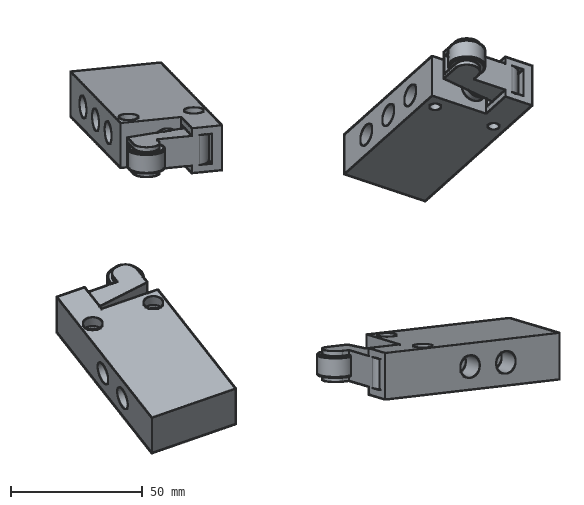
import cadquery as cq
import math

total_length = 88.0
body_length = 64.0
body_width = 36.0
body_height = 18.0
mid_height = body_height / 2

arm_end = 78.0
notch_depth = 24.0
seat_start = body_length + 0.5
seat_depth = 8.0
seat_floor_y = notch_depth + seat_depth
seat_wall_radius = 22.0
seat_wall_run = 3.7

port_diameter = 8.7
port_depth = 10.0
port_pitch = 16.0
front_port_places = [port_pitch * number for number in (1, 2, 3)]
back_port_places = [port_pitch * number for number in (1.5, 2.5)]

mount_x = 58.0
mount_edge_gap = 5.0
mount_diameter = 4.5
counterbore_diameter = 7.5
counterbore_depth = 4.5

plunger_y = 18.1
plunger_radius = 5.0
plunger_straight = 3.0
plunger_cone = 2.7

roller_radius = 7.0
roller_overhang = 2.0
roller_width = 8.2
roller_chamfer = 0.5
roller_x = total_length - roller_radius
roller_y = roller_radius - roller_overhang

lever_thickness = 12.0
lever_foot_x = body_length + 8.45
nose_radius = roller_y
head_radius = 5.0
head_x = arm_end - head_radius
head_y = seat_floor_y - head_radius

pocket_start = body_length + 9.0
pocket_wall_radius = 17.6


def mid_plane(x=0.0, y=0.0):
    """Horizontal work plane at the middle height of the body."""
    return cq.Workplane("XY", origin=(x, y, mid_height))


def centred_disc(x, y, radius, thickness):
    """Upright disc centred on the middle height of the body."""
    return mid_plane(x, y).circle(radius).extrude(thickness / 2, both=True)


def make_block():
    outline = [
        (0, 0),
        (body_length, 0),
        (body_length, notch_depth),
        (arm_end, notch_depth),
        (arm_end, body_width),
        (0, body_width),
    ]
    return cq.Workplane("XY").polyline(outline).close().extrude(body_height)


def cut_lever_seat(body):
    """Seat open towards the notch and the arm's end, with a curved inner wall."""
    seat = (
        mid_plane()
        .moveTo(arm_end, seat_floor_y)
        .lineTo(arm_end, notch_depth)
        .lineTo(seat_start, notch_depth)
        .radiusArc((seat_start + seat_wall_run, seat_floor_y), seat_wall_radius)
        .close()
        .extrude(lever_thickness / 2, both=True)
    )
    return body.cut(seat)


def cut_ports(body):
    port = cq.Workplane("XZ").circle(port_diameter / 2).extrude(-port_depth)
    for x in front_port_places:
        body = body.cut(port.translate((x, 0, mid_height)))
    for x in back_port_places:
        body = body.cut(port.translate((x, body_width - port_depth, mid_height)))
    return body


def cut_mounting_holes(body):
    places = [(mount_x, mount_edge_gap), (mount_x, body_width - mount_edge_gap)]
    return (
        body.faces(">Z")
        .workplane(origin=(0, 0, body_height))
        .pushPoints(places)
        .cboreHole(mount_diameter, counterbore_diameter, counterbore_depth)
    )


def make_plunger():
    plunger_length = plunger_straight + plunger_cone
    return (
        cq.Workplane("YZ", origin=(body_length, plunger_y, mid_height))
        .circle(plunger_radius)
        .extrude(plunger_length)
        .faces(">X")
        .chamfer(plunger_cone)
    )


def make_lever():
    head_distance = math.hypot(head_x - lever_foot_x, head_y)
    lean = math.asin(head_radius / head_distance) - math.atan2(head_x - lever_foot_x, head_y)
    tangent_point = (head_x - head_radius * math.cos(lean), head_y - head_radius * math.sin(lean))
    nose_top_y = roller_y + nose_radius
    return (
        mid_plane()
        .moveTo(lever_foot_x, 0)
        .lineTo(roller_x, 0)
        .threePointArc((roller_x + nose_radius, roller_y), (roller_x, nose_top_y))
        .lineTo(arm_end, nose_top_y)
        .lineTo(arm_end, head_y)
        .threePointArc((head_x, head_y + head_radius), tangent_point)
        .close()
        .extrude(lever_thickness / 2, both=True)
    )


def make_roller_pocket():
    """Pocket open at the front, closing where its curved wall meets the roller's side."""
    return (
        mid_plane()
        .moveTo(pocket_start, 0)
        .radiusArc((roller_x - roller_radius, roller_y), pocket_wall_radius)
        .lineTo(roller_x, roller_y)
        .lineTo(roller_x, 0)
        .close()
        .extrude(roller_width / 2, both=True)
    )


def make_lever_with_roller():
    """Lever and roller in one piece; the roller is chamfered only where it leaves the lever."""
    lever = make_lever()
    roller = centred_disc(roller_x, roller_y, roller_radius, roller_width)
    chamfered_roller = roller.faces("|Z").chamfer(roller_chamfer)
    chamfer_waste = roller.cut(chamfered_roller).cut(lever)
    return lever.cut(make_roller_pocket()).union(roller).cut(chamfer_waste)


body = cut_lever_seat(make_block())
body = cut_ports(body)
body = cut_mounting_holes(body)
result = body.union(make_plunger()).union(make_lever_with_roller())